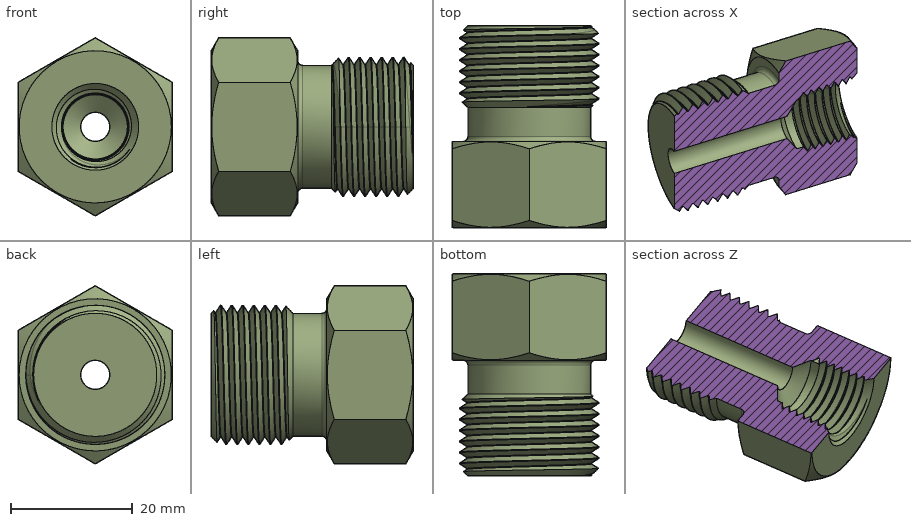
import cadquery as cq
import math


across_flats = 25.4
hex_length = 14.25
hex_face_diameter = 25.05
hex_chamfer_angle = 30.0

total_length = 33.27
neck_diameter = 20.27
neck_fillet = 0.8
neck_overlap = 1.0
male_length = 13.47
male_major_diameter = 22.911
male_minor_diameter = 20.587
male_pitch = 25.4 / 14
male_flat = 0.15
male_phase = -0.225

female_pitch = 25.4 / 18
female_depth = 11.0
female_mouth_diameter = 11.26
female_taper = 1 / 16
female_thread_height = 1.13
female_flat = 0.06
female_turns = 8
female_phase = 0.23
mouth_diameter = 14.28

bore_diameter = 4.74
drill_point_angle = 118.0

CYLINDER = 360.0
SKIN = 0.03


def revolve_profile(points):
    """Turn an outline of (radius, height) points about the Z axis."""
    return cq.Workplane("XZ").polyline(points).close().revolve(360, (0, 0), (0, 1))


def groove_section(root_radius, crest_radius, pitch, flat):
    """Trapezoid with equal root and crest flats, its flanks extended past the crest by SKIN."""
    half_root = flat / 2
    flank_width = pitch / 2 - flat
    overlap = SKIN / abs(crest_radius - root_radius)
    mouth_radius = crest_radius + overlap * (crest_radius - root_radius)
    half_mouth = half_root + flank_width * (1 + overlap)
    return [
        (root_radius, -half_root),
        (mouth_radius, -half_mouth),
        (mouth_radius, half_mouth),
        (root_radius, half_root),
    ]


def groove_turn(points, pitch, start, cone_angle):
    """One right-hand turn, from Z = start, of a groove with a section of (radius, height) points.

    Each corner follows its own helix, on a cone if cone_angle is below CYLINDER.
    """
    lead = pitch / math.cos(math.radians(cone_angle))
    helices = [
        cq.Wire.makeHelix(lead, lead, radius, cq.Vector(0, 0, start + offset), angle=cone_angle)
        for radius, offset in points
    ]
    neighbours = helices[1:] + helices[:1]
    faces = []
    for helix, neighbour in zip(helices, neighbours):
        faces += cq.Face.makeRuledSurface(helix, neighbour).Faces()
    for end in (0, 1):
        corners = [helix.positionAt(end) for helix in helices]
        faces.append(cq.Face.makeFromWires(cq.Wire.makePolygon(corners, close=True)))
    return cq.Workplane(cq.Solid.makeSolid(cq.Shell.makeShell(faces)))


def make_hex():
    """Hex prism with its corners cut back by a cone at both ends."""
    corner_radius = across_flats / math.sqrt(3)
    face_radius = hex_face_diameter / 2
    drop = (corner_radius - face_radius) * math.tan(math.radians(hex_chamfer_angle))
    prism = cq.Workplane("XY").polygon(6, 2 * corner_radius).extrude(hex_length)
    prism = prism.rotate((0, 0, 0), (0, 0, 1), 90)
    envelope = revolve_profile(
        [
            (0, 0),
            (face_radius, 0),
            (corner_radius, drop),
            (corner_radius, hex_length - drop),
            (face_radius, hex_length),
            (0, hex_length),
        ]
    )
    return prism.intersect(envelope)


def make_neck():
    """Plain neck with a concave fillet where it meets the hex."""
    radius = neck_diameter / 2
    bend = neck_fillet * (1 - math.sqrt(0.5))
    base = hex_length - neck_overlap
    top = total_length - male_length
    return (
        cq.Workplane("XZ")
        .moveTo(0, base)
        .lineTo(radius + neck_fillet, base)
        .lineTo(radius + neck_fillet, hex_length)
        .threePointArc((radius + bend, hex_length + bend), (radius, hex_length + neck_fillet))
        .lineTo(radius, top)
        .lineTo(0, top)
        .close()
        .revolve(360, (0, 0), (0, 1))
    )


def make_male_thread():
    """Cylinder chamfered at 45 degrees down to the neck at both ends, with a helical groove."""
    neck_radius = neck_diameter / 2
    crest_radius = male_major_diameter / 2
    root_radius = male_minor_diameter / 2
    chamfer = crest_radius - neck_radius
    bottom = total_length - male_length
    threaded = revolve_profile(
        [
            (0, bottom),
            (neck_radius, bottom),
            (crest_radius, bottom + chamfer),
            (crest_radius, total_length - chamfer),
            (neck_radius, total_length),
            (0, total_length),
        ]
    )
    section = groove_section(root_radius, crest_radius, male_pitch, male_flat)
    turns = math.ceil(male_length / male_pitch) + 2
    first = total_length + male_phase - (turns - 1) * male_pitch
    for turn in range(turns):
        start = first + turn * male_pitch
        threaded = threaded.cut(groove_turn(section, male_pitch, start, CYLINDER))
    return threaded


def make_bore():
    """Chamfered tapered hole, drill-point cone and through bore."""
    mouth_radius = mouth_diameter / 2
    top_radius = female_mouth_diameter / 2
    end_radius = top_radius - female_depth * female_taper / 2
    chamfer = (mouth_radius - top_radius) / (1 - female_taper / 2)
    bore_radius = bore_diameter / 2
    cone_length = (end_radius - bore_radius) / math.tan(math.radians(drill_point_angle / 2))
    return revolve_profile(
        [
            (0, 0),
            (mouth_radius, 0),
            (mouth_radius - chamfer, chamfer),
            (end_radius, female_depth),
            (bore_radius, female_depth + cone_length),
            (bore_radius, total_length),
            (0, total_length),
        ]
    )


def cut_female_thread(body):
    """Cut the helical groove that narrows with the taper of the female thread."""
    cone_angle = math.degrees(math.atan(female_taper / 2))
    for turn in range(female_turns):
        start = female_phase + (turn - 1) * female_pitch
        crest_radius = female_mouth_diameter / 2 - start * female_taper / 2
        root_radius = crest_radius + female_thread_height
        section = groove_section(root_radius, crest_radius, female_pitch, female_flat)
        body = body.cut(groove_turn(section, female_pitch, start, -cone_angle))
    return body


body = make_hex().union(make_neck()).union(make_male_thread())
body = cut_female_thread(body.cut(make_bore()))
result = body.rotate((0, 0, 0), (1, 0, 0), -90)